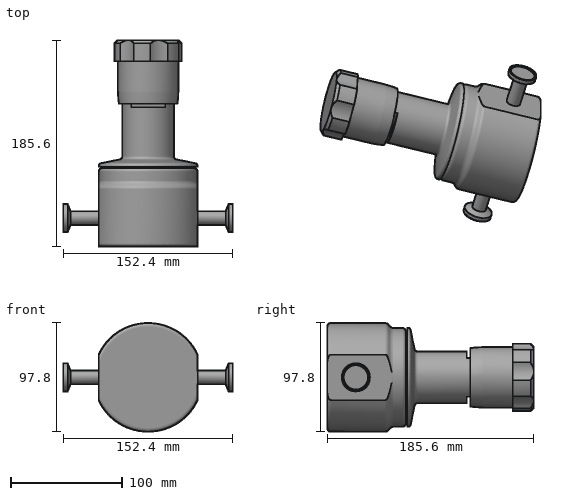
import cadquery as cq
import math

OVERALL_LENGTH = 185.57
PORT_SPAN = 152.4

BASE_Y = -25.7
BODY_RADIUS = 97.79 / 2
UPPER_RADIUS = 44.45
FLAT_CLEARANCE = 0.02
FLAT_OFFSET = UPPER_RADIUS + FLAT_CLEARANCE
FLAT_OVERCUT = 5.0
SHOULDER_START_Y = BASE_Y + 53.4
SHOULDER_END_Y = SHOULDER_START_Y + BODY_RADIUS - UPPER_RADIUS
BODY_TOP_Y = BASE_Y + 70.6
BODY_ROUND = 3.175

GAP = 1.0
GAP_RADIUS = 36.3
FLANGE_BOTTOM_Y = BODY_TOP_Y + GAP
FLANGE_RIM = 3.0
FLANGE_CONE_HEIGHT = 4.3
FLANGE_TOP_Y = FLANGE_BOTTOM_Y + FLANGE_RIM + FLANGE_CONE_HEIGHT
FLANGE_ROUND = 2.4
NECK_RADIUS = 23.35

KNOB_END_Y = BASE_Y + OVERALL_LENGTH
GRIP_LENGTH = 19.2
GRIP_START_Y = KNOB_END_Y - GRIP_LENGTH
BARREL_LENGTH = 27.0
BARREL_START_Y = GRIP_START_Y - BARREL_LENGTH
BARREL_RADIUS = 27.3
SKIRT_LENGTH = 11.1
SKIRT_START_Y = BARREL_START_Y - SKIRT_LENGTH
SKIRT_END_RADIUS = 26.3
GRIP_RADIUS = 30.4
GRIP_CHAMFER = 3.1
FLUTE_COUNT = 6
FLUTE_FLOOR_RADIUS = 27.4
FLUTE_ARC_RADIUS = 18.6
FIRST_FLUTE_ANGLE = 10.5

NECK_FLAT_WIDTH = 2.9
NECK_FLAT_OFFSET = 17.6

TUBE_RADIUS = 6.35
FERRULE_RADIUS = 12.7
FERRULE_RIM = 4.0
FERRULE_CONE_LENGTH = 2.6
RECESS_DEPTH = 0.7
RECESS_OUTER_RADIUS = 11.5
RECESS_FLOOR_RADIUS = 10.9


def cylinder_y(radius, start_y, end_y):
    """Cylinder on the Y axis between two Y positions."""
    return cq.Workplane("XZ", origin=(0, start_y, 0)).circle(radius).extrude(start_y - end_y)


def revolve_y(points):
    """Turn a closed (radius, y) outline about the Y axis."""
    return cq.Workplane("XY").polyline(points).close().revolve(360, (0, 0, 0), (0, 1, 0))


def round_ring(part, y, radius):
    """Round the circular edge that lies at height y on the Y axis."""
    return part.edges(cq.NearestToPointSelector((0, y, 0))).fillet(radius)


def make_body():
    body = revolve_y([
        (0, BASE_Y),
        (BODY_RADIUS, BASE_Y),
        (BODY_RADIUS, SHOULDER_START_Y),
        (UPPER_RADIUS, SHOULDER_END_Y),
        (UPPER_RADIUS, BODY_TOP_Y),
        (0, BODY_TOP_Y),
    ])
    for edge_y in (BASE_Y, SHOULDER_START_Y, SHOULDER_END_Y, BODY_TOP_Y):
        body = round_ring(body, edge_y, BODY_ROUND)
    return cut_side_flats(body)


def cut_side_flats(body):
    """Cut the two flats that face -X and +X."""
    length = BODY_TOP_Y - BASE_Y
    depth = BODY_RADIUS - FLAT_OFFSET + FLAT_OVERCUT
    cutter = cq.Workplane("XY").box(depth, length, 2 * BODY_RADIUS)
    for side in (1, -1):
        body = body.cut(cutter.translate((side * (FLAT_OFFSET + depth / 2), BASE_Y + length / 2, 0)))
    return body


def make_bonnet():
    bonnet = revolve_y([
        (0, FLANGE_BOTTOM_Y),
        (UPPER_RADIUS, FLANGE_BOTTOM_Y),
        (UPPER_RADIUS, FLANGE_BOTTOM_Y + FLANGE_RIM),
        (NECK_RADIUS, FLANGE_TOP_Y),
        (NECK_RADIUS, SKIRT_START_Y),
        (0, SKIRT_START_Y),
    ])
    for edge_y in (FLANGE_BOTTOM_Y + FLANGE_RIM, FLANGE_TOP_Y):
        bonnet = round_ring(bonnet, edge_y, FLANGE_ROUND)
    flat_depth = NECK_RADIUS - NECK_FLAT_OFFSET
    for side in (1, -1):
        cutter = cq.Workplane("XY").box(2 * NECK_RADIUS, NECK_FLAT_WIDTH, flat_depth)
        bonnet = bonnet.cut(cutter.translate((
            0,
            SKIRT_START_Y - NECK_FLAT_WIDTH / 2,
            side * (NECK_FLAT_OFFSET + flat_depth / 2),
        )))
    spigot = cylinder_y(GAP_RADIUS, BODY_TOP_Y, FLANGE_BOTTOM_Y)
    return bonnet.union(spigot)


def make_grip():
    grip = cylinder_y(GRIP_RADIUS, GRIP_START_Y, KNOB_END_Y).faces(">Y").chamfer(GRIP_CHAMFER)
    flute_distance = FLUTE_FLOOR_RADIUS + FLUTE_ARC_RADIUS
    for index in range(FLUTE_COUNT):
        angle = math.radians(FIRST_FLUTE_ANGLE + index * 360 / FLUTE_COUNT)
        cutter = cylinder_y(FLUTE_ARC_RADIUS, GRIP_START_Y, KNOB_END_Y)
        grip = grip.cut(cutter.translate((
            flute_distance * math.cos(angle),
            0,
            flute_distance * math.sin(angle),
        )))
    return grip


def make_knob():
    barrel = (
        cq.Workplane("XY")
        .moveTo(0, GRIP_START_Y)
        .lineTo(BARREL_RADIUS, GRIP_START_Y)
        .lineTo(BARREL_RADIUS, BARREL_START_Y)
        .tangentArcPoint((SKIRT_END_RADIUS, SKIRT_START_Y), relative=False)
        .lineTo(0, SKIRT_START_Y)
        .close()
        .revolve(360, (0, 0, 0), (0, 1, 0))
    )
    return barrel.union(make_grip())


def make_ports():
    """Both tubes as one turned bar through the body, with a ferrule at each end."""
    end_x = PORT_SPAN / 2
    rim_x = end_x - FERRULE_RIM
    half_outline = [
        (end_x - RECESS_DEPTH, 0),
        (end_x - RECESS_DEPTH, RECESS_FLOOR_RADIUS),
        (end_x, RECESS_OUTER_RADIUS),
        (end_x, FERRULE_RADIUS),
        (rim_x, FERRULE_RADIUS),
        (rim_x - FERRULE_CONE_LENGTH, TUBE_RADIUS),
    ]
    mirrored_outline = [(-x, radius) for x, radius in reversed(half_outline)]
    outline = cq.Workplane("XY").polyline(half_outline + mirrored_outline).close()
    return outline.revolve(360, (0, 0, 0), (1, 0, 0))


result = make_body().union(make_bonnet()).union(make_knob()).union(make_ports())